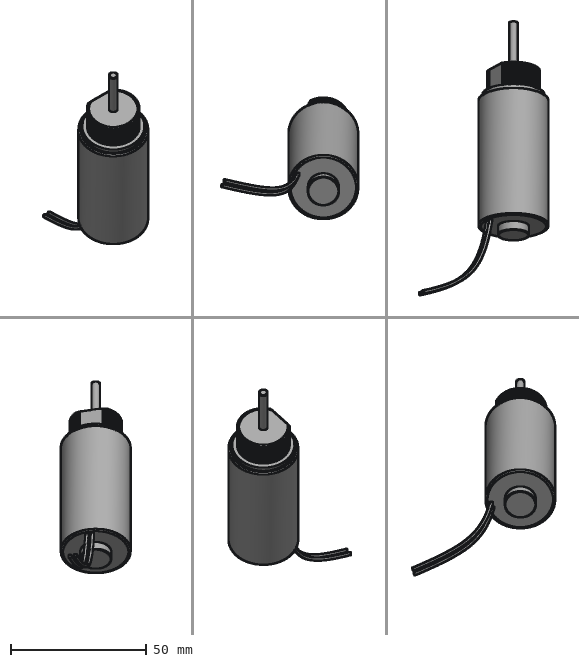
import cadquery as cq
import math

OVERALL_HEIGHT = 115.6
SPIGOT_BOTTOM = 31.7
BODY_BOTTOM = 35.1
BODY_TOP = 85.3
COLLAR_TOP = 87.0
NECK_TOP = 96.7

BODY_DIAMETER = 25.9
BODY_RADIUS = BODY_DIAMETER / 2
BODY_END_DIAMETER = 24.2
BODY_CHAMFER_HEIGHT = 0.5
COLLAR_DIAMETER = 23.0
SPIGOT_DIAMETER = 11.5
SPIGOT_CHAMFER = 0.2
ROD_DIAMETER = 3.2
ROD_CHAMFER = 0.2

THREAD_DIAMETER = 19.5
THREAD_PITCH = 0.7
THREAD_DEPTH = 0.8
FLAT_OFFSET = 7.9

WIRE_DIAMETER = 1.3
WIRE_SPACING = 2.1
WIRE_EMBED = 1.2
WIRE_EXIT = (-10.7, BODY_BOTTOM)
WIRE_BEND = (-18.7, 14.0)
WIRE_LEAN = 9.0
WIRE_END_SLOPE = 22.0
OVERALL_WIDTH = 53.7


def cylinder(diameter, bottom, top):
    return cq.Workplane("XY").workplane(offset=bottom).circle(diameter / 2).extrude(top - bottom)


def make_body():
    end_radius = BODY_END_DIAMETER / 2
    shell = cq.Workplane("XZ").polyline([
        (0, BODY_BOTTOM),
        (end_radius, BODY_BOTTOM),
        (BODY_RADIUS, BODY_BOTTOM + BODY_CHAMFER_HEIGHT),
        (BODY_RADIUS, BODY_TOP - BODY_CHAMFER_HEIGHT),
        (end_radius, BODY_TOP),
        (0, BODY_TOP),
    ]).close().revolve(360, (0, 0, 0), (0, 1, 0))
    collar = cylinder(COLLAR_DIAMETER, BODY_TOP, COLLAR_TOP)
    spigot = cylinder(SPIGOT_DIAMETER, SPIGOT_BOTTOM, BODY_BOTTOM).faces("<Z").chamfer(SPIGOT_CHAMFER)
    rod = cylinder(ROD_DIAMETER, NECK_TOP, OVERALL_HEIGHT).faces(">Z").chamfer(ROD_CHAMFER)
    return shell.union(collar).union(spigot).union(rod)


def make_neck():
    """Neck revolved from a sawtooth profile, so each thread turn is a closed V ring."""
    crest = THREAD_DIAMETER / 2
    root = crest - THREAD_DEPTH
    turns = round((NECK_TOP - COLLAR_TOP) / THREAD_PITCH)
    pitch = (NECK_TOP - COLLAR_TOP) / turns
    points = [(0, COLLAR_TOP), (root, COLLAR_TOP)]
    for turn in range(turns):
        turn_bottom = COLLAR_TOP + turn * pitch
        points.append((crest, turn_bottom + pitch / 2))
        points.append((root, turn_bottom + pitch))
    points.append((0, NECK_TOP))
    neck = cq.Workplane("XZ").polyline(points).close().revolve(360, (0, 0, 0), (0, 1, 0))
    beyond_flat = cq.Workplane("XY").box(
        THREAD_DIAMETER, 2 * THREAD_DIAMETER, OVERALL_HEIGHT, centered=(False, True, False)
    ).translate((-FLAT_OFFSET - THREAD_DIAMETER, 0, 0))
    return neck.cut(beyond_flat)


def make_wire(y):
    """Round wire leaving the body nearly straight down and bending out toward -X."""
    lean = math.radians(WIRE_LEAN)
    slope = math.radians(WIRE_END_SLOPE)
    wire_radius = WIRE_DIAMETER / 2
    end = (
        BODY_RADIUS - OVERALL_WIDTH + wire_radius * math.sin(slope),
        wire_radius * math.cos(slope),
    )
    start = (WIRE_EXIT[0] + WIRE_EMBED * math.tan(lean), WIRE_EXIT[1] + WIRE_EMBED)
    path = cq.Workplane("XZ", origin=(0, y, 0)).spline(
        [start, WIRE_BEND, end],
        tangents=[(-math.sin(lean), -math.cos(lean)), (-math.cos(slope), -math.sin(slope))],
    )
    section_plane = cq.Plane(
        origin=(start[0], y, start[1]),
        xDir=(0, 1, 0),
        normal=(-math.sin(lean), 0, -math.cos(lean)),
    )
    return cq.Workplane(section_plane).circle(wire_radius).sweep(path)


result = make_body().union(make_neck())
for side in (-1, 1):
    result = result.union(make_wire(side * WIRE_SPACING / 2))